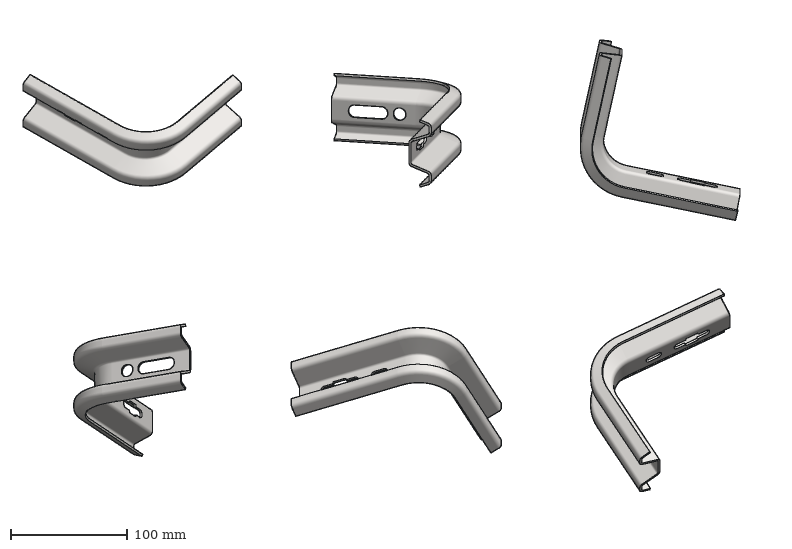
import cadquery as cq
import math

length_x = 145.0
length_y = 120.0
height = 60.0
depth = 20.0

sheet = 2.0
fold_inner = 2.0
fold_outer = fold_inner + sheet
flank_angle = 70.0
web_half = 8.4
crest_width = 4.4

bend_radius = 45.0
leg_x = length_x - bend_radius
leg_y = length_y - bend_radius

opening = 11.0
narrow_slot = 7.0
long_slot = 35.0
short_slot = 15.1
key_slot_x = 37.5
short_slot_x = 75.0
key_width = 12.0
key_fillet = 0.9
wide_slot_end = 32.5
round_hole_end = 60.5

flank = math.radians(flank_angle)
fold_depth = (fold_inner + fold_outer) * (1 - math.cos(flank))
flank_rise = (depth - sheet - fold_depth) / math.tan(flank)
crest_start = web_half + (fold_inner + fold_outer) * math.sin(flank) + flank_rise
crest_end = crest_start + crest_width
lip_start_z = crest_end + fold_outer * math.sin(flank)
lip_start_u = fold_outer * (1 - math.cos(flank))
lip_tip_u = lip_start_u + (height / 2 - lip_start_z) * math.tan(flank)


def web_fold(radius, angle):
    """Point (u, z) on the fold between the web and the flank."""
    return (depth - fold_outer + radius * math.cos(angle), web_half + radius * math.sin(angle))


def crest_fold(center_z, radius, angle):
    """Point (u, z) on a fold beside the crest; angle is positive towards the lip."""
    return (fold_outer - radius * math.cos(angle), center_z + radius * math.sin(angle))


def add_web_fold(outline, radius, start, end):
    """Run straight to the web fold, then around it."""
    middle = (start + end) / 2
    return (
        outline.lineTo(*web_fold(radius, start))
        .threePointArc(web_fold(radius, middle), web_fold(radius, end))
    )


def add_crest_fold(outline, center_z, radius, start, end):
    """Run straight to a crest fold, then around it."""
    middle = (start + end) / 2
    return (
        outline.lineTo(*crest_fold(center_z, radius, start))
        .threePointArc(crest_fold(center_z, radius, middle), crest_fold(center_z, radius, end))
    )


def half_profile():
    """Closed section of the upper half of the sheet, drawn at X = 0."""
    front_tip = (lip_tip_u, height / 2)
    back_tip = (lip_tip_u + sheet * math.cos(flank), height / 2 - sheet * math.sin(flank))
    outline = cq.Workplane("YZ").moveTo(depth - sheet, 0)
    outline = add_web_fold(outline, fold_inner, 0, flank)
    outline = add_crest_fold(outline, crest_start, fold_outer, -flank, 0)
    outline = add_crest_fold(outline, crest_end, fold_outer, 0, flank)
    outline = outline.lineTo(*front_tip).lineTo(*back_tip)
    outline = add_crest_fold(outline, crest_end, fold_inner, flank, 0)
    outline = add_crest_fold(outline, crest_start, fold_inner, 0, -flank)
    outline = add_web_fold(outline, fold_outer, flank, 0)
    return outline.lineTo(depth, 0).close()


def channel():
    """Both legs and the corner, without openings."""
    first_leg = half_profile().extrude(leg_x)
    corner = (
        half_profile()
        .revolve(90, (bend_radius, 0), (bend_radius, 1))
        .translate((leg_x, 0, 0))
    )
    second_leg = (
        half_profile()
        .extrude(leg_y)
        .rotate((0, 0, 0), (0, 0, 1), 90)
        .translate((length_x, bend_radius, 0))
    )
    upper = first_leg.union(corner).union(second_leg)
    return upper.union(upper.mirror("XY"))


def x_leg_slot(center_x, slot_length):
    """Cutter for a narrow slot through the web of the X leg."""
    return (
        cq.Workplane("XZ", origin=(center_x, depth, 0))
        .slot2D(slot_length, narrow_slot)
        .extrude(sheet)
    )


def key_slot():
    """Cutter for the narrow slot with a widened, rounded middle."""
    middle = (
        cq.Workplane("XZ", origin=(key_slot_x, depth, 0))
        .rect(key_width, opening)
        .extrude(sheet)
    )
    middle_zone = cq.selectors.BoxSelector(
        (key_slot_x - key_width, 0, -opening),
        (key_slot_x + key_width, depth, opening),
    )
    return (
        x_leg_slot(key_slot_x, long_slot)
        .union(middle)
        .edges("|Y")
        .edges(middle_zone)
        .fillet(key_fillet)
    )


def y_leg_openings():
    """Cutter for the wide slot and the round hole through the web of the Y leg."""
    web = cq.Workplane("YZ", origin=(length_x - depth, length_y, 0))
    slot = web.center(-wide_slot_end, 0).slot2D(long_slot, opening).extrude(sheet)
    hole = web.center(-round_hole_end, 0).circle(opening / 2).extrude(sheet)
    return slot.union(hole)


result = (
    channel()
    .cut(key_slot())
    .cut(x_leg_slot(short_slot_x, short_slot))
    .cut(y_leg_openings())
)